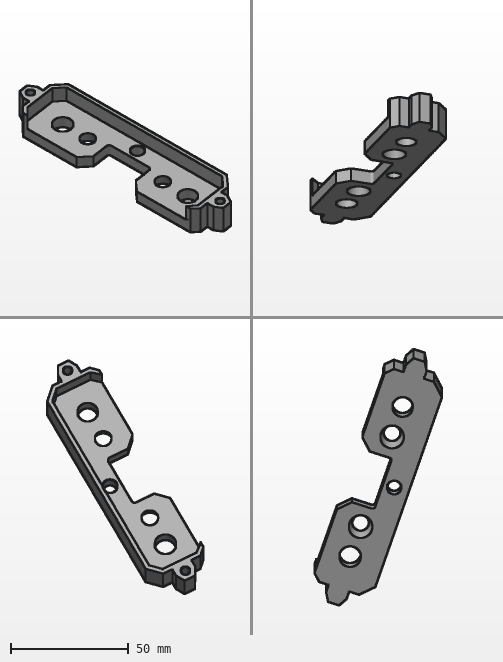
import cadquery as cq
import math

overall_length = 114.0
body_length = 99.6
body_depth = 26.5
height = 13.5
rear_chamfer = 5.5
front_chamfer = 3.1

wall = 2.0
floor_thickness = 5.8
cavity_front_chamfer_width = 3.4
cavity_front_corner_y = 3.9

notch_width = 23.7
notch_depth = 15.0
notch_mouth_width = 33.7
notch_mouth_depth = 5.0
notch_corner_radius = 1.4

ear_y = 12.0
ear_width = 9.2
ear_tip_width = 5.0
ear_taper_length = 3.8
ear_hole_inset = 4.0
ear_hole_diameter = 3.5
ear_hole_mouth_diameter = 4.0
ear_hole_depth = 11.4

lead_in_depth = 0.2

large_hole_x = 35.0
left_large_hole_diameter = 9.1
right_large_hole_diameter = 8.7
small_hole_x = 21.0
small_hole_diameter = 7.0
small_hole_bottom_diameter = 10.0
center_hole_y = 20.0
center_hole_diameter = 6.0
center_hole_mouth_diameter = 6.5


def mirrored_outline(right_half):
    """Close a right-hand chain of points with its mirror image across X = 0."""
    left_half = [(-x, y) for x, y in reversed(right_half)]
    return cq.Workplane("XY").polyline(right_half + left_half).close()


def make_body():
    half_length = body_length / 2
    return mirrored_outline([
        (half_length - front_chamfer, 0),
        (half_length, front_chamfer),
        (half_length, body_depth - rear_chamfer),
        (half_length - rear_chamfer, body_depth),
    ]).extrude(height)


def make_cavity():
    """Tray space one wall thickness inside the body, open through the front face."""
    half_length = body_length / 2 - wall
    corner_shift = wall * math.tan(math.radians(22.5))
    rear_corner_y = body_depth - rear_chamfer - corner_shift
    return mirrored_outline([
        (half_length - cavity_front_chamfer_width, 0),
        (half_length, cavity_front_corner_y),
        (half_length, rear_corner_y),
        (body_length / 2 - rear_chamfer - corner_shift, body_depth - wall),
    ]).extrude(height).translate((0, 0, floor_thickness))


def make_notch():
    half_width = notch_width / 2
    return mirrored_outline([
        (notch_mouth_width / 2, 0),
        (half_width, notch_mouth_depth),
        (half_width, notch_depth),
    ]).extrude(height).edges("|Z and >Y").fillet(notch_corner_radius)


def make_ear(side):
    """Tapered ear on the left (side = -1) or right (side = 1), rooted inside the end wall."""
    tip_x = side * overall_length / 2
    shoulder_x = tip_x - side * ear_taper_length
    root_x = side * (body_length - wall) / 2
    return cq.Workplane("XY").polyline([
        (root_x, ear_y - ear_width / 2),
        (shoulder_x, ear_y - ear_width / 2),
        (tip_x, ear_y - ear_tip_width / 2),
        (tip_x, ear_y + ear_tip_width / 2),
        (shoulder_x, ear_y + ear_width / 2),
        (root_x, ear_y + ear_width / 2),
    ]).close().extrude(height)


def make_hole(x, y, diameter, bottom=0.0):
    """Round cutter from the given level up to the top of the part."""
    return cq.Workplane("XY", origin=(x, y, bottom)).circle(diameter / 2).extrude(height - bottom)


def make_cone(x, y, bottom_diameter, top_diameter, bottom, top):
    """Conical cutter between two levels."""
    return (
        cq.Workplane("XY", origin=(x, y, bottom))
        .circle(bottom_diameter / 2)
        .workplane(offset=top - bottom)
        .circle(top_diameter / 2)
        .loft()
    )


def make_lead_in(x, y, diameter, mouth_diameter, top):
    """Conical cutter widening a hole to its mouth at the given level."""
    return make_cone(x, y, diameter, mouth_diameter, top - lead_in_depth, top)


def make_small_hole(x):
    """Floor hole that flares toward the underside."""
    return make_cone(x, ear_y, small_hole_bottom_diameter, small_hole_diameter, 0, floor_thickness)


result = make_body().cut(make_cavity()).cut(make_notch())

for side in (-1, 1):
    ear_hole_x = side * (overall_length / 2 - ear_hole_inset)
    ear_hole = make_hole(ear_hole_x, ear_y, ear_hole_diameter, height - ear_hole_depth)
    ear_lead_in = make_lead_in(ear_hole_x, ear_y, ear_hole_diameter, ear_hole_mouth_diameter, height)
    result = result.union(make_ear(side)).cut(ear_hole).cut(ear_lead_in)
    result = result.cut(make_small_hole(side * small_hole_x))

result = result.cut(make_hole(-large_hole_x, ear_y, left_large_hole_diameter))
result = result.cut(make_hole(large_hole_x, ear_y, right_large_hole_diameter))
result = result.cut(make_hole(0, center_hole_y, center_hole_diameter))
result = result.cut(
    make_lead_in(0, center_hole_y, center_hole_diameter, center_hole_mouth_diameter, floor_thickness)
)